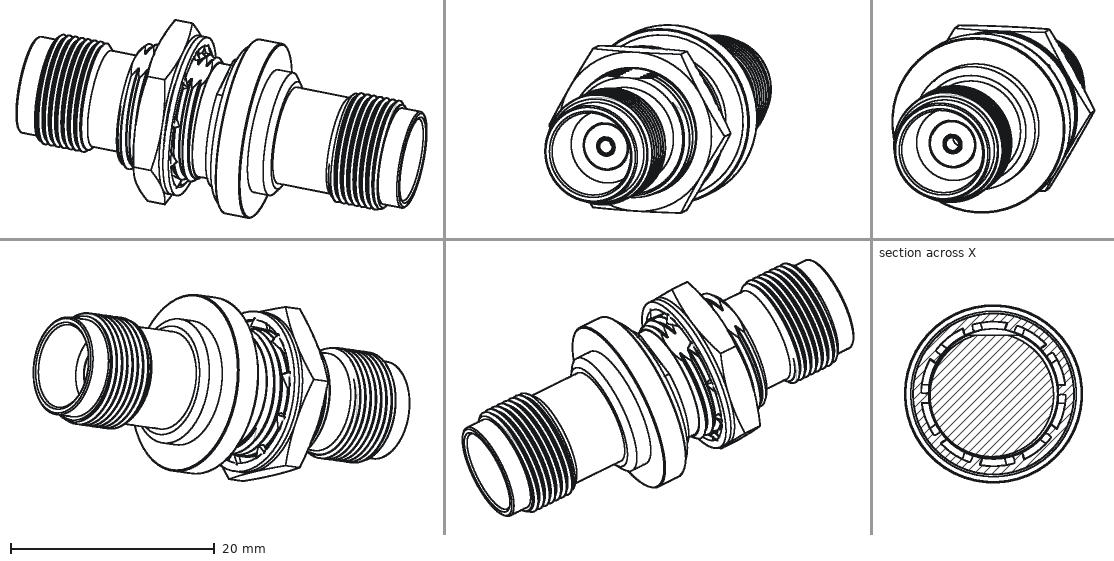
import cadquery as cq


length = 39.37
barrel_radius = 4.83
rim_chamfer = 0.15

coupling_start = 2.06
coupling_length = 5.34
coupling_radius = 5.5
coupling_root_radius = 5.15
coupling_pitch = 0.65
coupling_start_angle = 180.0

bulkhead_start = 10.68
bulkhead_end = 18.46
bulkhead_radius = 6.3
bulkhead_root_radius = 5.9
bulkhead_tip_radius = 5.8
bulkhead_pitch = 0.907
bulkhead_start_angle = 213.0
flat_height = 5.79

crest_land = 0.08
root_land = 0.1
cutter_overshoot = 0.02

neck_radius = 5.69
shoulder_start = 20.05
shoulder_radius = 6.4
flange_start = 21.75
flange_end = 24.27
flange_radius = 17.47 / 2
flange_chamfer = 0.1
collar_end = 26.47
collar_radius = 6.15
collar_chamfer_length = 0.6
collar_chamfer_height = 0.78

ring_section_radius = 0.87
ring_center_radius = shoulder_radius + ring_section_radius

socket_depth = 4.45
socket_mouth_radius = 4.3
socket_chamfer = 0.2
socket_floor_radius = 3.63
insulator_radius = 2.35
insulator_gap = 0.1
insulator_gap_depth = 0.5
contact_radius = 0.95
contact_gap = 0.15
contact_gap_depth = 0.5
contact_hole_radius = 0.65
contact_hole_depth = 3.0

nut_start = 13.05
nut_end = 15.72
nut_across_corners = 18.33
nut_face_radius = 7.95
nut_chamfer_length = 0.45
nut_bore_radius = bulkhead_radius
nut_bore_chamfer = 0.1

washer_start = 16.12
washer_thickness = 0.57
washer_radius = 7.93
washer_inner_radius = 7.1
tooth_count = 10
tooth_tip_radius = 6.35
tooth_thickness = 0.5
tooth_width = 1.85
tooth_twist = 30.0
tooth_overlap = 0.2
first_tooth_angle = 90.0


def cylinder(start, end, radius):
    """Solid cylinder along X from start to end."""
    return cq.Workplane("YZ", origin=(start, 0, 0)).circle(radius).extrude(end - start)


def revolve(outline):
    """Turn a closed (x, radius) outline about the X axis."""
    return outline.close().revolve(360, (0, 0, 0), (1, 0, 0))


def thread_groove(start, end, crest_radius, root_radius, pitch, start_angle):
    """Right-handed helical groove that runs out one pitch beyond both ends of the thread.

    The start angle turns the groove about the X axis, from a start under the part.
    """
    depth = crest_radius - root_radius
    root_half = root_land / 2
    crest_half = (pitch - crest_land) / 2
    slope = (crest_half - root_half) / depth
    outer_half = crest_half + slope * cutter_overshoot
    outer_radius = crest_radius + cutter_overshoot
    helix = cq.Wire.makeHelix(pitch, end - start + 2 * pitch, root_radius)
    groove = (
        cq.Workplane("XZ")
        .polyline([
            (root_radius, -root_half),
            (root_radius, root_half),
            (outer_radius, outer_half),
            (outer_radius, -outer_half),
        ])
        .close()
        .sweep(cq.Workplane(helix), isFrenet=True)
    )
    along_x = groove.rotate((0, 0, 0), (0, 1, 0), 90)
    return along_x.rotate((0, 0, 0), (1, 0, 0), start_angle).translate((start - pitch, 0, 0))


def ring_groove(depth, outer_radius, width):
    """Ring-shaped cavity sunk into the socket floor."""
    end = socket_depth + depth
    return cylinder(socket_depth, end, outer_radius).cut(
        cylinder(socket_depth, end, outer_radius - width)
    )


def make_socket():
    """Cavity of the socket in the left end."""
    taper = revolve(
        cq.Workplane("XY").polyline([
            (0, 0),
            (0, socket_mouth_radius),
            (socket_chamfer, socket_mouth_radius - socket_chamfer),
            (socket_depth, socket_floor_radius),
            (socket_depth, 0),
        ])
    )
    insulator_groove = ring_groove(insulator_gap_depth, insulator_radius, insulator_gap)
    contact_groove = ring_groove(contact_gap_depth, contact_radius, contact_gap)
    contact_hole = cylinder(socket_depth, socket_depth + contact_hole_depth, contact_hole_radius)
    return taper.union(insulator_groove).union(contact_groove).union(contact_hole)


def make_coupling_thread():
    """Threaded collar near the left end, with 45 degree lead-ins."""
    end = coupling_start + coupling_length
    blank = revolve(
        cq.Workplane("XY").polyline([
            (coupling_start, 0),
            (coupling_start, coupling_root_radius),
            (coupling_start + coupling_radius - coupling_root_radius, coupling_radius),
            (end - coupling_radius + barrel_radius, coupling_radius),
            (end, barrel_radius),
            (end, 0),
        ])
    )
    groove = thread_groove(
        coupling_start, end, coupling_radius, coupling_root_radius, coupling_pitch, coupling_start_angle
    )
    return blank.cut(groove)


def make_bulkhead_thread():
    """Large thread in the middle of the housing, with 45 degree lead-ins."""
    lead_in = bulkhead_radius - bulkhead_tip_radius
    blank = revolve(
        cq.Workplane("XY").polyline([
            (bulkhead_start, 0),
            (bulkhead_start, bulkhead_tip_radius),
            (bulkhead_start + lead_in, bulkhead_radius),
            (bulkhead_end - lead_in, bulkhead_radius),
            (bulkhead_end, bulkhead_tip_radius),
            (bulkhead_end, 0),
        ])
    )
    groove = thread_groove(
        bulkhead_start, bulkhead_end, bulkhead_radius, bulkhead_root_radius, bulkhead_pitch,
        bulkhead_start_angle,
    )
    return blank.cut(groove)


def at_right_end(left_shape):
    """Copy of a left-end shape turned half round about Z to the right end."""
    return left_shape.rotate((length / 2, 0, 0), (length / 2, 0, 1), 180)


def make_housing():
    core = revolve(
        cq.Workplane("XY")
        .moveTo(0, 0)
        .lineTo(0, barrel_radius - rim_chamfer)
        .lineTo(rim_chamfer, barrel_radius)
        .lineTo(bulkhead_start, barrel_radius)
        .lineTo(bulkhead_start, neck_radius)
        .lineTo(shoulder_start, neck_radius)
        .lineTo(shoulder_start, shoulder_radius)
        .lineTo(flange_start, shoulder_radius)
        .threePointArc(
            (flange_start + ring_section_radius, ring_center_radius),
            (flange_start, ring_center_radius + ring_section_radius),
        )
        .lineTo(flange_start, flange_radius - flange_chamfer)
        .lineTo(flange_start + flange_chamfer, flange_radius)
        .lineTo(flange_end - flange_chamfer, flange_radius)
        .lineTo(flange_end, flange_radius - flange_chamfer)
        .lineTo(flange_end, collar_radius)
        .lineTo(collar_end - collar_chamfer_length, collar_radius)
        .lineTo(collar_end, collar_radius - collar_chamfer_height)
        .lineTo(collar_end, barrel_radius)
        .lineTo(length - rim_chamfer, barrel_radius)
        .lineTo(length, barrel_radius - rim_chamfer)
        .lineTo(length, 0)
    )
    coupling_thread = make_coupling_thread()
    body = core.union(make_bulkhead_thread())
    body = body.union(coupling_thread).union(at_right_end(coupling_thread))

    flat_cut = cq.Workplane("XY", origin=(bulkhead_start, 0, flat_height)).box(
        flange_start - bulkhead_start, 2 * flange_radius, flange_radius, centered=(False, True, False)
    )
    body = body.cut(flat_cut)
    socket = make_socket()
    return body.cut(socket).cut(at_right_end(socket))


def make_nut():
    hexagon = (
        cq.Workplane("YZ", origin=(nut_start, 0, 0))
        .polygon(6, nut_across_corners)
        .extrude(nut_end - nut_start)
    )
    corner_radius = nut_across_corners / 2
    chamfer_envelope = revolve(
        cq.Workplane("XY").polyline([
            (nut_start, 0),
            (nut_start, nut_face_radius),
            (nut_start + nut_chamfer_length, corner_radius),
            (nut_end - nut_chamfer_length, corner_radius),
            (nut_end, nut_face_radius),
            (nut_end, 0),
        ])
    )
    bore = revolve(
        cq.Workplane("XY").polyline([
            (nut_start, 0),
            (nut_start, nut_bore_radius + nut_bore_chamfer),
            (nut_start + nut_bore_chamfer, nut_bore_radius),
            (nut_end - nut_bore_chamfer, nut_bore_radius),
            (nut_end, nut_bore_radius + nut_bore_chamfer),
            (nut_end, 0),
        ])
    )
    return hexagon.intersect(chamfer_envelope).cut(bore)


def make_washer():
    end = washer_start + washer_thickness
    washer = cylinder(washer_start, end, washer_radius).cut(
        cylinder(washer_start, end, washer_inner_radius)
    )
    tooth_root_radius = washer_inner_radius + tooth_overlap
    tooth = (
        cq.Workplane("XY", origin=(washer_start + washer_thickness / 2, 0, tooth_tip_radius))
        .transformed(rotate=(0, 0, tooth_twist))
        .rect(tooth_thickness, tooth_width)
        .transformed(rotate=(0, 0, -tooth_twist), offset=(0, 0, tooth_root_radius - tooth_tip_radius))
        .rect(tooth_thickness, tooth_width)
        .loft(ruled=True)
    )
    for index in range(tooth_count):
        angle = first_tooth_angle + index * 360 / tooth_count
        washer = washer.union(tooth.rotate((0, 0, 0), (1, 0, 0), angle))
    return washer


def make_o_ring():
    return (
        cq.Workplane("XY")
        .center(flange_start, ring_center_radius)
        .circle(ring_section_radius)
        .revolve(360, (0, -ring_center_radius, 0), (1, -ring_center_radius, 0))
    )


housing = make_housing()
nut = make_nut()
washer = make_washer()
o_ring = make_o_ring()

bodies = [housing, nut, washer, o_ring]
result = cq.Compound.makeCompound([body.solids().val() for body in bodies])